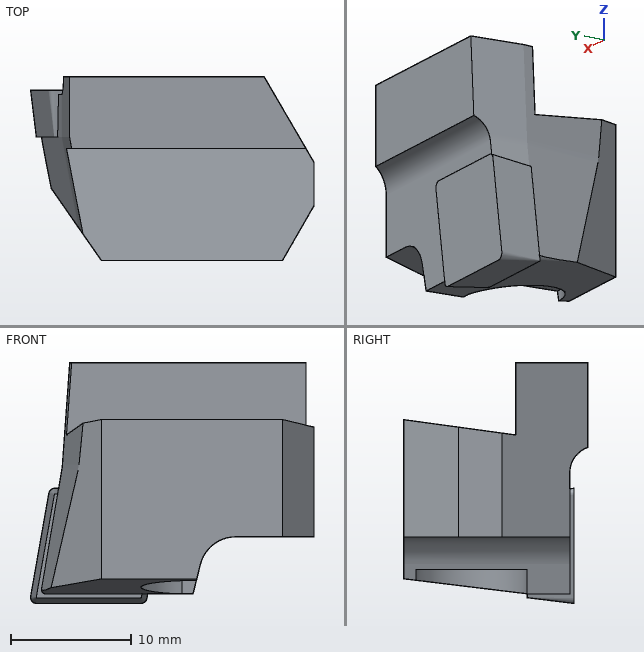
import cadquery as cq
import math

length = 23.55
depth = 15.28
height = 20.0
margin = 2.35

front_left_x = 5.88
front_right_x = 20.93
front_left_chamfer_angle = 55.2
right_flat_start_y = 4.55
right_flat_end_y = 8.17
back_right_x = 19.4

seat_y = 10.25
shank_front_y = 9.3
shelf_front_z = 15.28
shelf_back_z = 14.0
bottom_front_z = 2.05
bottom_seat_z = 0.8

flank_top_x = 3.25
flank_bend_z = 11.3
upper_flank_angle = 4.1
lower_flank_angle = 9.6
flank_relief_angle = 10.4
flank_bend_radius = 4.95
nose_radius = 0.35

bend_x = flank_top_x - (height - flank_bend_z) * math.tan(math.radians(upper_flank_angle))
foot_x = bend_x - flank_bend_z * math.tan(math.radians(lower_flank_angle))

step_z = 5.53
step_radius = 3.0
step_tangent_x = 17.02
step_wall_angle = 14.0

pocket_radius = 4.7
pocket_x = 13.9
pocket_y = 5.72
pocket_top_z = 2.82

clearance_radius = 4.4 / 2
clearance_wall_y = 13.8
clearance_z = 10.88

insert_back_y = 14.15
insert_height = 9.58
insert_width = 9.7
insert_lean = 10.0
insert_relief_angle = 7.0
insert_corner_radius = 0.52


def tan(degrees):
    return math.tan(math.radians(degrees))


def cos(degrees):
    return math.cos(math.radians(degrees))


def sin(degrees):
    return math.sin(math.radians(degrees))


def along_x(points):
    """Prism with a YZ outline, longer than the holder in X."""
    return cq.Workplane("YZ").polyline(points).close().extrude(length + 2 * margin).translate((-margin, 0, 0))


def make_blank():
    left_chamfer_y = (front_left_x + margin) * tan(front_left_chamfer_angle)
    outline = [
        (front_left_x, 0),
        (front_right_x, 0),
        (length, right_flat_start_y),
        (length, right_flat_end_y),
        (back_right_x, depth),
        (-margin, depth),
        (-margin, left_chamfer_y),
    ]
    return cq.Workplane("XY").polyline(outline).close().extrude(height)


def make_shelf_cut():
    return along_x([
        (0, shelf_front_z),
        (shank_front_y, shelf_back_z),
        (shank_front_y, height + margin),
        (-margin, height + margin),
        (-margin, shelf_front_z),
    ])


def make_bottom_cut():
    return along_x([
        (0, bottom_front_z),
        (seat_y, bottom_seat_z),
        (depth + margin, bottom_seat_z),
        (depth + margin, -margin),
        (-margin, -margin),
        (-margin, bottom_front_z),
    ])


def make_flank_envelope():
    """Material right of the flank: straight behind the seat, relieved in front of it."""
    bend_reach = flank_bend_radius * tan((lower_flank_angle - upper_flank_angle) / 2)
    arc_start = (
        bend_x + bend_reach * sin(upper_flank_angle),
        flank_bend_z + bend_reach * cos(upper_flank_angle),
    )
    arc_end = (
        bend_x - bend_reach * sin(lower_flank_angle),
        flank_bend_z - bend_reach * cos(lower_flank_angle),
    )
    outline = (
        cq.Workplane("XZ", origin=(0, seat_y, 0))
        .moveTo(length + margin, height)
        .lineTo(flank_top_x, height)
        .lineTo(*arc_start)
        .tangentArcPoint(arc_end, relative=False)
        .lineTo(foot_x, 0)
        .lineTo(length + margin, 0)
        .close()
        .wires()
        .val()
    )
    face = cq.Face.makeFromWires(outline)
    behind = cq.Solid.extrudeLinear(face, cq.Vector(0, depth - seat_y, 0))
    relief_vector = cq.Vector(seat_y * tan(flank_relief_angle), -seat_y, 0)
    in_front = cq.Solid.extrudeLinear(face, relief_vector)
    return cq.Workplane(obj=behind).union(cq.Workplane(obj=in_front))


def make_nose_cut():
    """Rounds the corner under the insert tip, running out where the flank recedes faster."""
    corner_x = foot_x + bottom_seat_z * tan(lower_flank_angle)
    reach = nose_radius * (1 + sin(lower_flank_angle)) / cos(lower_flank_angle)
    bottom_end = (corner_x + reach, bottom_seat_z)
    flank_end = (
        corner_x + reach * sin(lower_flank_angle),
        bottom_seat_z + reach * cos(lower_flank_angle),
    )
    outline = (
        cq.Workplane("XZ", origin=(0, seat_y, 0))
        .moveTo(bottom_end[0] + nose_radius, bottom_seat_z)
        .lineTo(*bottom_end)
        .tangentArcPoint(flank_end, relative=False)
        .lineTo(-margin, flank_end[1])
        .lineTo(-margin, -margin)
        .lineTo(bottom_end[0] + nose_radius, -margin)
        .close()
        .wires()
        .val()
    )
    bottom_rise = bottom_front_z - bottom_seat_z
    direction = cq.Vector(seat_y * tan(insert_relief_angle), -seat_y, bottom_rise)
    return cq.Workplane(obj=cq.Solid.extrudeLinear(cq.Face.makeFromWires(outline), direction))


def make_step_cut():
    center_z = step_z - step_radius
    tangent_x = step_tangent_x - step_radius * cos(step_wall_angle)
    tangent_z = center_z + step_radius * sin(step_wall_angle)
    wall_foot_x = tangent_x - (tangent_z + margin) * tan(step_wall_angle)
    return (
        cq.Workplane("XZ", origin=(0, -margin, 0))
        .moveTo(length + margin, step_z)
        .lineTo(step_tangent_x, step_z)
        .tangentArcPoint((tangent_x, tangent_z), relative=False)
        .lineTo(wall_foot_x, -margin)
        .lineTo(length + margin, -margin)
        .close()
        .extrude(-(depth + 2 * margin))
    )


def make_pocket_cut():
    """Vertical round pocket, ending flat at the seat plane."""
    seat_limit = cq.Workplane("XY").box(length, seat_y, pocket_top_z, centered=False)
    bore = cq.Workplane("XY").center(pocket_x, pocket_y).circle(pocket_radius).extrude(pocket_top_z)
    return bore.intersect(seat_limit)


def make_clearance_cut():
    center_y = clearance_wall_y + clearance_radius
    return (
        cq.Workplane("YZ", origin=(-margin, 0, 0))
        .moveTo(clearance_wall_y, -margin)
        .lineTo(clearance_wall_y, clearance_z)
        .threePointArc(
            (center_y - clearance_radius * cos(45), clearance_z + clearance_radius * sin(45)),
            (center_y, clearance_z + clearance_radius),
        )
        .lineTo(center_y, -margin)
        .close()
        .extrude(length + 2 * margin)
    )


def make_insert():
    corner_x = insert_corner_radius * (1 - (1 + sin(insert_lean)) / cos(insert_lean))
    shift = insert_height * tan(insert_lean)
    outline = [
        (corner_x, 0),
        (corner_x + insert_width, 0),
        (corner_x + insert_width + shift, insert_height),
        (corner_x + shift, insert_height),
    ]
    rounded = cq.Sketch().polygon(outline + outline[:1]).vertices().fillet(insert_corner_radius)
    thickness = insert_back_y - seat_y
    return (
        cq.Workplane("XZ", origin=(0, insert_back_y, 0))
        .placeSketch(rounded)
        .extrude(thickness, taper=insert_relief_angle)
    )


def make_holder(insert):
    holder = make_blank().intersect(make_flank_envelope())
    holder = holder.cut(make_shelf_cut()).cut(make_bottom_cut())
    holder = holder.cut(make_nose_cut()).cut(make_step_cut()).cut(make_pocket_cut()).cut(make_clearance_cut())
    return holder.cut(insert).solids()


insert = make_insert()
holder = make_holder(insert)

result = cq.Compound.makeCompound([holder.val(), insert.val()])